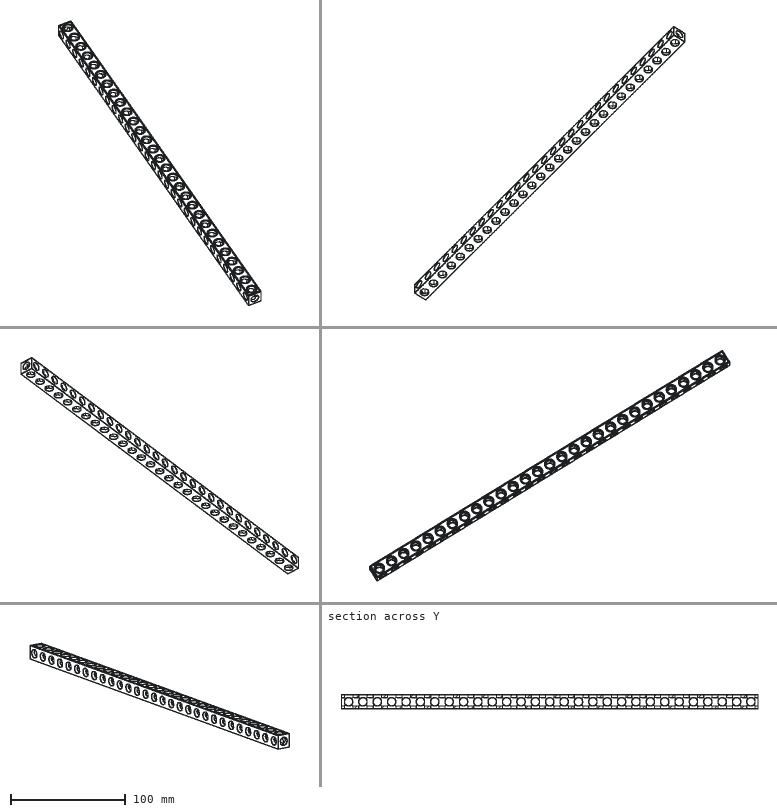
import cadquery as cq

unit = 12.5
unit_count = 29
hole_diameter = 7.0
chamfer = 0.3

land_width = 0.8
recess_depth = 0.2

length = unit * unit_count
half_length = length / 2
half_unit = unit / 2
hole_radius = hole_diameter / 2
rim_width = chamfer + land_width
ring_radius = hole_radius + chamfer + land_width
hole_x_positions = [(i - (unit_count - 1) / 2) * unit for i in range(unit_count)]


def beam_blank():
    return cq.Workplane("XY").box(length, unit, unit).edges().chamfer(chamfer)


def chamfered_hole(half_depth):
    """Cutter for a through hole along Z, centred on the origin and flared at both ends."""
    mouth_radius = hole_radius + chamfer
    half_profile = [
        (0, -half_depth),
        (mouth_radius, -half_depth),
        (hole_radius, chamfer - half_depth),
        (hole_radius, half_depth - chamfer),
        (mouth_radius, half_depth),
        (0, half_depth),
    ]
    return cq.Workplane("XZ").polyline(half_profile).close().revolve(360, (0, 0), (0, 1))


def hole_cutters():
    """Vertical and crosswise holes in every unit, and one hole along the whole beam."""
    vertical = chamfered_hole(half_unit)
    crosswise = vertical.rotate((0, 0, 0), (1, 0, 0), 90)
    lengthwise = chamfered_hole(half_length).rotate((0, 0, 0), (0, 1, 0), 90)
    cutters = [lengthwise]
    for x in hole_x_positions:
        cutters.append(vertical.translate((x, 0, 0)))
        cutters.append(crosswise.translate((x, 0, 0)))
    return cutters


def top_recess():
    """Rectangular pocket with a full-height round island around each vertical hole."""
    floor = cq.Workplane("XY", origin=(0, 0, half_unit - recess_depth))
    pocket = floor.rect(length - 2 * rim_width, unit - 2 * rim_width).extrude(recess_depth)
    islands = (
        floor.pushPoints([(x, 0) for x in hole_x_positions])
        .circle(ring_radius)
        .extrude(recess_depth)
    )
    return pocket.cut(islands)


result = beam_blank().cut(top_recess())
for cutter in hole_cutters():
    result = result.cut(cutter)